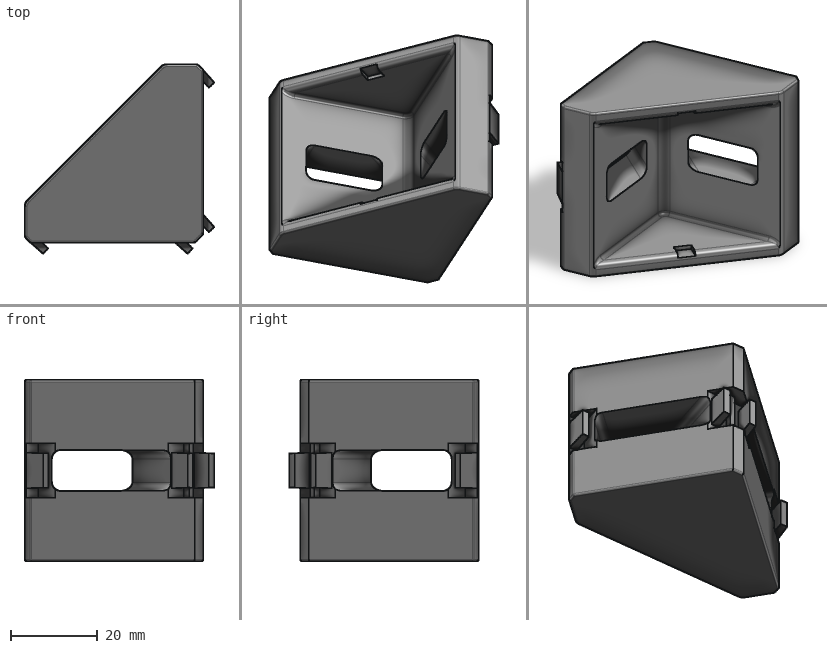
import cadquery as cq
import math


leg_length = 41.3
height = 42.0
leg_end = 9.27
corner_chamfer = 2.05
tip_chamfer_along = 1.3
tip_chamfer_depth = 1.45
tip_edge_radius = 0.5
slope_corner_radius = 2.0
rim_radius = 0.5

floor_depth = 9.45
side_wall = 3.5
pocket_corner_radius = 2.0
pocket_lip_radius = 1.5
pocket_floor_radius = 1.0
recess_length = 4.2
recess_depth = 1.0
recess_reach = 4.0

slot_height = 9.4
slot_far_end = 35.0
slot_near_end = 7.0
slot_radius = 2.0
slot_overrun = 1.0

hook_pitch = 33.4
notch_height = 12.6
near_notch_wall = 0.9
near_notch_depth = 3.6
far_notch_depth = 3.85
ridge_depth = 2.4
hook_outer_tip = (3.67, -2.5)
hook_inner_tip = (2.5, -1.28)
hook_outer_root = (7.65, 1.05)
hook_inner_root = (6.3, 2.5)
hook_tip_height = 7.9
hook_root_height = 8.2

wall_z = height / 2 - side_wall
slope_reach = leg_length + leg_end
slope_distance = slope_reach * math.sqrt(0.5)

pick_size = 0.2
mirror_normal = cq.Vector(1, 1, 0)
slope_section_plane = cq.Plane(origin=(0, 0, 0), xDir=(-1, 1, 0), normal=(1, 1, 0))


def leg_point(along, depth):
    """Plan position of a point in the section of the leg that runs along X."""
    return (-along, depth)


def mirrored_point(along, depth):
    """Plan position of the same point in the leg that runs along Y."""
    return (-depth, along)


def prism(points, thickness):
    """Upright prism centred on z = 0."""
    return cq.Workplane("XY").polyline(points).close().extrude(thickness / 2, both=True)


def both_legs(shape):
    """A feature of one leg together with its mirror image on the other leg."""
    return shape.union(shape.mirror(mirror_normal))


def edges_at(points):
    """Selector for the upright edges that pass through the given plan points."""
    selector = None
    for x, y in points:
        low = (x - pick_size, y - pick_size, -pick_size)
        high = (x + pick_size, y + pick_size, pick_size)
        box = cq.selectors.BoxSelector(low, high)
        selector = box if selector is None else selector + box
    return selector


def make_body():
    half_outline = [
        (corner_chamfer, 0),
        (leg_length - tip_chamfer_along, 0),
        (leg_length, tip_chamfer_depth),
        (leg_length, leg_end),
    ]
    outline = [leg_point(*p) for p in half_outline]
    outline += [mirrored_point(*p) for p in reversed(half_outline)]
    tip_corners = [place(*p) for p in half_outline[1:3] for place in (leg_point, mirrored_point)]
    slope_corners = [place(*half_outline[3]) for place in (leg_point, mirrored_point)]
    body = prism(outline, height)
    body = body.edges(edges_at(slope_corners)).fillet(slope_corner_radius)
    body = body.edges(edges_at(tip_corners)).fillet(tip_edge_radius)
    return body.faces("|Z").edges().fillet(rim_radius)


def cut_pocket(body):
    """Triangular pocket open at the sloping face, with rounded side lips and a filleted floor."""
    corner = leg_point(floor_depth, floor_depth)
    triangle = [corner, leg_point(slope_reach, floor_depth), mirrored_point(slope_reach, floor_depth)]

    lip_start = slope_distance - pocket_lip_radius
    lip_z = wall_z + pocket_lip_radius
    mouth = (
        cq.Workplane(slope_section_plane)
        .lineTo(0, wall_z)
        .lineTo(lip_start, wall_z)
        .radiusArc((slope_distance, lip_z), -pocket_lip_radius)
        .lineTo(slope_reach, lip_z)
        .lineTo(slope_reach, 0)
        .close()
        .extrude(slope_reach, both=True)
    )
    mouth = mouth.union(mouth.mirror("XY"))
    pocket = prism(triangle, height).intersect(mouth)
    pocket = pocket.edges(edges_at([corner])).fillet(pocket_corner_radius)
    floor_middle = (floor_depth + leg_length) / 2
    floor_edges = None
    for z in (-wall_z, wall_z):
        beside = cq.selectors.NearestToPointSelector((*leg_point(floor_middle, floor_depth), z))
        floor_edges = beside if floor_edges is None else floor_edges + beside
    pocket = pocket.edges(floor_edges).fillet(pocket_floor_radius)
    return body.cut(pocket)


def cut_lip_recesses(body):
    """Shallow recess at the middle of each side lip."""
    recess = (
        cq.Workplane(slope_section_plane)
        .center(slope_distance - recess_reach / 2, 0)
        .rect(recess_reach, 2 * (wall_z + recess_depth))
        .extrude(recess_length / 2, both=True)
    )
    return body.cut(recess)


def make_slot():
    """Bolt slot through a leg; its end next to the outer corner slants at 45 degrees."""
    outside = -slot_overrun
    inside = floor_depth + slot_overrun
    section = [
        (slot_near_end + outside, outside),
        (slot_far_end, outside),
        (slot_far_end, inside),
        (slot_near_end + inside, inside),
    ]
    slot = prism([leg_point(*p) for p in section], slot_height)
    end_edges = slot.faces("|Z").edges("not |X")
    return end_edges.fillet(slot_radius)


def near_notch():
    """Notches of both legs beside the outer corner, joined across the corner by a ridge between them."""
    apex_along = near_notch_wall + near_notch_depth
    half = [
        (apex_along + near_notch_depth, 0),
        (apex_along, near_notch_depth),
        (near_notch_wall + ridge_depth, ridge_depth),
    ]
    outline = [leg_point(*p) for p in half]
    outline += [mirrored_point(*p) for p in reversed(half)]
    outline.append(leg_point(0, 0))
    return prism(outline, notch_height)


def far_notch():
    """V notch across the tip of a leg, with both walls at 45 degrees."""
    wall_foot = near_notch_wall + hook_pitch
    apex_along = wall_foot + far_notch_depth
    section = [
        (wall_foot, 0),
        (apex_along, far_notch_depth),
        (apex_along + far_notch_depth, 0),
    ]
    return prism([leg_point(*p) for p in section], notch_height)


def hook_end(outer, inner, shift, end_height):
    """Rectangular outline of one end of a hook."""
    bottom_z = -end_height / 2
    top_z = end_height / 2
    plan = [leg_point(along + shift, depth) for along, depth in (outer, inner)]
    corners = [(*plan[0], bottom_z), (*plan[1], bottom_z), (*plan[1], top_z), (*plan[0], top_z)]
    return cq.Wire.makePolygon([cq.Vector(*c) for c in corners], close=True)


def make_hook(shift):
    """Slanted hook that tapers towards its tip."""
    root = hook_end(hook_outer_root, hook_inner_root, shift, hook_root_height)
    tip = hook_end(hook_outer_tip, hook_inner_tip, shift, hook_tip_height)
    return cq.Workplane(cq.Solid.makeLoft([root, tip], True))


def make_bracket():
    bracket = cut_pocket(make_body())
    bracket = cut_lip_recesses(bracket)
    bracket = bracket.cut(both_legs(make_slot()))
    bracket = bracket.cut(near_notch())
    bracket = bracket.cut(both_legs(far_notch()))
    for shift in (0, hook_pitch):
        hook = make_hook(shift)
        bracket = bracket.union(hook).union(hook.mirror(mirror_normal))
    return bracket


result = make_bracket()